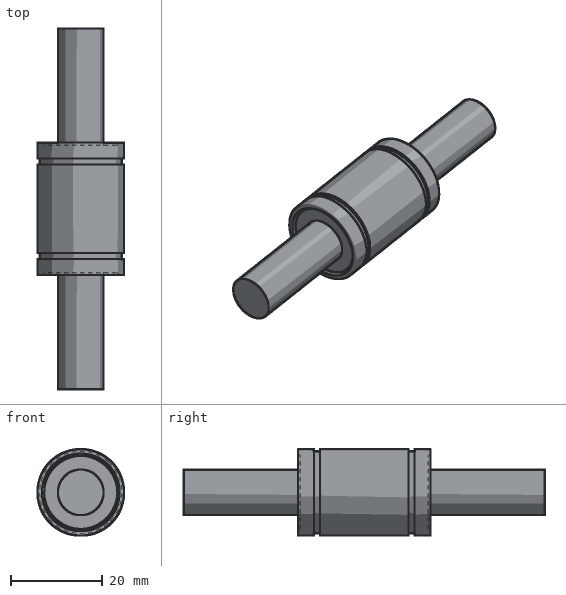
import cadquery as cq

shaft_diameter = 10.0
shaft_length = 79.0

sleeve_diameter = 19.0
sleeve_length = 29.0
sleeve_edge_radius = 0.2

groove_diameter = 18.0
groove_width = 1.3
groove_outer_span = 22.0
groove_center_offset = (groove_outer_span - groove_width) / 2

recess_diameter = 16.0
recess_depth = 0.6
recess_chamfer = 0.5


def cylinder_along_y(diameter, length, center_y=0.0):
    """Cylinder on the Y axis, centred at center_y."""
    start = cq.Vector(0, center_y - length / 2, 0)
    return cq.Workplane(cq.Solid.makeCylinder(diameter / 2, length, start, cq.Vector(0, 1, 0)))


def groove_ring(center_y):
    """Ring of material removed to form one retaining-ring groove."""
    outer = cylinder_along_y(sleeve_diameter, groove_width, center_y)
    inner = cylinder_along_y(groove_diameter, groove_width, center_y)
    return outer.cut(inner)


def end_recess(side):
    """Material removed from the sleeve end face on the given side (-1 or +1)."""
    end_y = side * sleeve_length / 2
    bore = cylinder_along_y(recess_diameter, recess_depth, end_y - side * recess_depth / 2)
    floor_radius = recess_diameter / 2
    mouth_radius = floor_radius + recess_chamfer
    inward = cq.Vector(0, -side, 0)
    mouth = cq.Solid.makeCone(mouth_radius, floor_radius, recess_chamfer, cq.Vector(0, end_y, 0), inward)
    return bore.union(cq.Workplane(mouth))


def bearing_sleeve():
    """Sleeve with rounded ends, two outer grooves and two end recesses."""
    sleeve = cylinder_along_y(sleeve_diameter, sleeve_length)
    sleeve = sleeve.faces("<Y or >Y").fillet(sleeve_edge_radius)
    for side in (-1, 1):
        sleeve = sleeve.cut(groove_ring(side * groove_center_offset))
        sleeve = sleeve.cut(end_recess(side))
    return sleeve


shaft = cylinder_along_y(shaft_diameter, shaft_length)

result = bearing_sleeve().union(shaft)